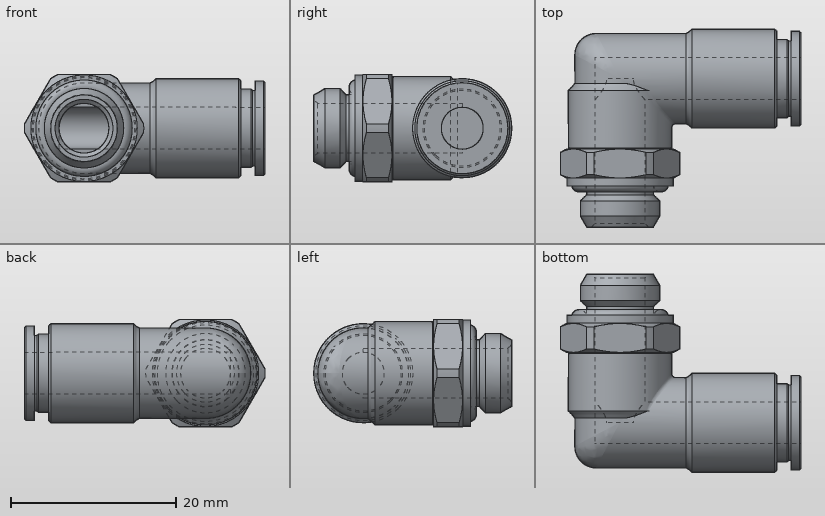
import cadquery as cq
import math

OVERALL_LENGTH = 29.15
HEX_FLATS = 13.0
HEX_CORNER_RADIUS = 7.23
ARM_END = OVERALL_LENGTH - HEX_CORNER_RADIUS

ELBOW_RADIUS = 5.48
ELBOW_TOP_TANGENT = 2.85

COLLAR_RADIUS = 6.27
COLLAR_START = -0.55
COLLAR_STEP = 0.45
SEAM_FILLET = 0.45
COLLAR_CHAMFER = 0.45
COLLAR_SIDE_START = COLLAR_START - COLLAR_STEP - COLLAR_CHAMFER
COLLAR_END = -8.37
HEX_START = -8.48
HEX_END = -12.05
HEX_BEVEL = 0.45
GAP_RADIUS = 6.12
FLANGE_RADIUS = 6.45
FLANGE_END = -13.0
SEAL_RING_RADIUS = 4.95
SEAL_SECTION_RADIUS = 0.9
SEAL_CENTER = -12.8
NECK_RADIUS = SEAL_RING_RADIUS - SEAL_SECTION_RADIUS
NECK_END = -14.05
THREAD_RADIUS = 4.8
THREAD_START = -14.78
THREAD_BEVEL_START = -16.62
LEG_END = -18.0
TIP_RADIUS = 4.02
LEG_BORE_RADIUS = 3.0
BORE_BEVEL = 0.5

SLEEVE_RADIUS = 6.0
SLEEVE_FILLET_START = 8.0
SLEEVE_STEP = 0.32
SLEEVE_START = 8.72
SLEEVE_END = 18.98
SLEEVE_CHAMFER = 0.25
RELEASE_NECK_RADIUS = 4.75
RELEASE_NECK_END = 20.17
RELEASE_GROOVE_RADIUS = 4.58
RELEASE_FLANGE_START = 20.7
RELEASE_FLANGE_RADIUS = 5.75
RELEASE_CHAMFER = 0.23
ARM_BORE_RADIUS = 2.55

TOLERANCE = 0.015


def turn_about_y(points):
    """Revolve a closed (radius, y) outline about the Y axis."""
    return cq.Workplane("XY").polyline(points).close().revolve(360, (0, 0), (0, 1))


def turn_about_x(points):
    """Revolve a closed (x, radius) outline about the X axis."""
    return cq.Workplane("XY").polyline(points).close().revolve(360, (0, 0), (1, 0))


def prism(points):
    """Extrude an XY outline through the whole thickness of the part."""
    return cq.Workplane("XY").polyline(points).close().extrude(HEX_FLATS, both=True)


def make_corner():
    """Rounded outer corner: similar outlines that shrink toward both Z poles."""
    r = ELBOW_RADIUS
    t = ELBOW_TOP_TANGENT
    rounding = r - t
    arc_middle = t + rounding * math.sin(math.radians(45))
    origin = cq.Vector(0, 0, 0)
    pole = cq.Vector(0, 0, r)
    leg_side = cq.Vector(-r, t, 0)
    arm_side = cq.Vector(-t, r, 0)

    def quarter_ellipse(side):
        return cq.Edge.makeEllipse(
            side.Length, r, origin, side.cross(pole), side, 0, 90, 1
        )

    rim = cq.Edge.makeThreePointArc(leg_side, cq.Vector(-arc_middle, arc_middle, 0), arm_side)
    leg_curve = quarter_ellipse(leg_side)
    arm_curve = quarter_ellipse(arm_side)
    leg_spoke = cq.Edge.makeLine(origin, leg_side)
    arm_spoke = cq.Edge.makeLine(origin, arm_side)
    spindle = cq.Edge.makeLine(origin, pole)

    dome_points = []
    for turn in (22.5, 45, 67.5):
        angle = math.radians(turn)
        x = -t - rounding * math.cos(angle)
        y = t + rounding * math.sin(angle)
        for rise in (20, 40, 60):
            lift = math.radians(rise)
            shrink = math.cos(lift)
            dome_points.append(cq.Vector(x * shrink, y * shrink, r * math.sin(lift)))

    faces = [
        cq.Face.makeNSidedSurface([rim, arm_curve, leg_curve], dome_points),
        cq.Face.makeFromWires(cq.Wire.assembleEdges([leg_spoke, rim, arm_spoke])),
        cq.Face.makeFromWires(cq.Wire.assembleEdges([leg_spoke, leg_curve, spindle])),
        cq.Face.makeFromWires(cq.Wire.assembleEdges([arm_spoke, arm_curve, spindle])),
    ]
    upper = cq.Workplane(cq.Solid.makeSolid(cq.Shell.makeShell(faces)))
    return upper.union(upper.mirror("XY"))


def make_elbow():
    r = ELBOW_RADIUS
    t = ELBOW_TOP_TANGENT
    arm = turn_about_x([(-r, 0), (-r, r), (SLEEVE_START, r), (SLEEVE_START, 0)])
    arm = arm.intersect(
        prism([(0, 0), (-t, r), (SLEEVE_START, r), (SLEEVE_START, -r), (0, -r)])
    )
    leg = turn_about_y([(0, r), (r, r), (r, COLLAR_END), (0, COLLAR_END)])
    leg = leg.intersect(
        prism([(0, 0), (-r, t), (-r, COLLAR_END), (r, COLLAR_END), (r, 0)])
    )
    return arm.union(leg).union(make_corner())


def make_seam():
    """Collar and arm cylinders with a filleted seam, kept only below the collar chamfer."""
    collar = turn_about_y([
        (0, 0),
        (COLLAR_RADIUS, 0),
        (COLLAR_RADIUS, COLLAR_END),
        (0, COLLAR_END),
    ])
    arm = turn_about_x([
        (0, 0),
        (0, ELBOW_RADIUS),
        (SLEEVE_START, ELBOW_RADIUS),
        (SLEEVE_START, 0),
    ])
    body = collar.union(arm)

    def is_seam(edge):
        middle = edge.positionAt(0.5)
        on_collar = abs(math.hypot(middle.x, middle.z) - COLLAR_RADIUS) < TOLERANCE
        on_arm = abs(math.hypot(middle.y, middle.z) - ELBOW_RADIUS) < TOLERANCE
        return on_collar and on_arm and middle.x > 0 and middle.y < -TOLERANCE

    seams = [edge for edge in body.edges().vals() if is_seam(edge)]
    body = body.newObject(seams).fillet(SEAM_FILLET)
    return body.intersect(
        prism([
            (0, COLLAR_SIDE_START),
            (SLEEVE_START, COLLAR_SIDE_START),
            (SLEEVE_START, COLLAR_END),
            (0, COLLAR_END),
        ])
    )


def make_leg():
    return turn_about_y([
        (0, COLLAR_START),
        (ELBOW_RADIUS, COLLAR_START),
        (COLLAR_RADIUS - COLLAR_CHAMFER, COLLAR_START - COLLAR_STEP),
        (COLLAR_RADIUS, COLLAR_SIDE_START),
        (COLLAR_RADIUS, COLLAR_END),
        (GAP_RADIUS, COLLAR_END),
        (GAP_RADIUS, HEX_END),
        (FLANGE_RADIUS, HEX_END),
        (FLANGE_RADIUS, FLANGE_END),
        (NECK_RADIUS, FLANGE_END),
        (NECK_RADIUS, NECK_END),
        (THREAD_RADIUS, THREAD_START),
        (THREAD_RADIUS, THREAD_BEVEL_START),
        (TIP_RADIUS, LEG_END),
        (0, LEG_END),
    ])


def make_seal():
    return (
        cq.Workplane("XY")
        .center(SEAL_RING_RADIUS, SEAL_CENTER)
        .circle(SEAL_SECTION_RADIUS)
        .revolve(360, (-SEAL_RING_RADIUS, 0), (-SEAL_RING_RADIUS, 1))
    )


def make_hex():
    """Hexagon with flats facing Z, its corners turned down and bevelled."""
    across_corners = HEX_FLATS / math.cos(math.radians(30))
    blank = (
        cq.Workplane("XZ", origin=(0, HEX_START, 0))
        .polygon(6, across_corners)
        .extrude(HEX_START - HEX_END)
    )
    envelope = turn_about_y([
        (0, HEX_START),
        (FLANGE_RADIUS, HEX_START),
        (HEX_CORNER_RADIUS, HEX_START - HEX_BEVEL),
        (HEX_CORNER_RADIUS, HEX_END + HEX_BEVEL),
        (FLANGE_RADIUS, HEX_END),
        (0, HEX_END),
    ])
    return blank.intersect(envelope)


def make_arm():
    chamfer = SLEEVE_CHAMFER
    return turn_about_x([
        (SLEEVE_FILLET_START, 0),
        (SLEEVE_FILLET_START, ELBOW_RADIUS),
        (SLEEVE_FILLET_START + SLEEVE_STEP, ELBOW_RADIUS + SLEEVE_STEP / 2),
        (SLEEVE_START, SLEEVE_RADIUS),
        (SLEEVE_END - chamfer, SLEEVE_RADIUS),
        (SLEEVE_END, SLEEVE_RADIUS - chamfer),
        (SLEEVE_END, RELEASE_NECK_RADIUS),
        (RELEASE_NECK_END, RELEASE_NECK_RADIUS),
        (RELEASE_NECK_END + RELEASE_CHAMFER, RELEASE_GROOVE_RADIUS),
        (RELEASE_FLANGE_START, RELEASE_GROOVE_RADIUS),
        (RELEASE_FLANGE_START, RELEASE_FLANGE_RADIUS),
        (ARM_END - RELEASE_CHAMFER, RELEASE_FLANGE_RADIUS),
        (ARM_END, RELEASE_FLANGE_RADIUS - RELEASE_CHAMFER),
        (ARM_END, 0),
    ])


def make_bores():
    leg_bore = turn_about_y([
        (0, 0),
        (LEG_BORE_RADIUS, 0),
        (LEG_BORE_RADIUS, LEG_END + BORE_BEVEL),
        (LEG_BORE_RADIUS + BORE_BEVEL, LEG_END),
        (0, LEG_END),
    ])
    arm_bore = turn_about_x([
        (-LEG_BORE_RADIUS, 0),
        (-LEG_BORE_RADIUS, ARM_BORE_RADIUS),
        (ARM_END, ARM_BORE_RADIUS),
        (ARM_END, 0),
    ])
    return leg_bore.union(arm_bore)


result = make_elbow()
for piece in (make_leg(), make_seam(), make_seal(), make_hex(), make_arm()):
    result = result.union(piece)
result = result.cut(make_bores())